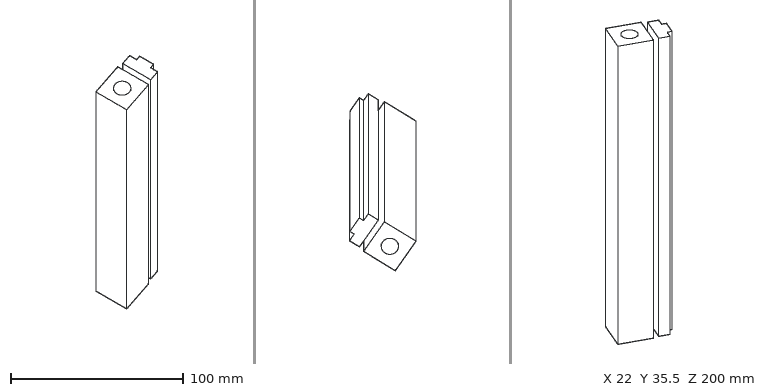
import cadquery as cq

length = 200.0

bar_width = 22.0
bore_diameter = 10.0

flange_width = 20.0
flange_depth = 7.0
stem_width = 10.0
stem_depth = 3.0

flange_offset = 18.0


def make_bar():
    """Square bar centred on the Z axis, bored right through."""
    return (
        cq.Workplane("XY")
        .rect(bar_width, bar_width)
        .circle(bore_diameter / 2)
        .extrude(length)
    )


def make_strip():
    """T-section strip, standing clear of the bar on its +Y side."""
    half_flange = flange_width / 2
    half_stem = stem_width / 2
    front_y = flange_offset - flange_depth / 2
    shoulder_y = front_y + flange_depth
    back_y = shoulder_y + stem_depth
    return (
        cq.Workplane("XY")
        .polyline([
            (-half_flange, front_y),
            (half_flange, front_y),
            (half_flange, shoulder_y),
            (half_stem, shoulder_y),
            (half_stem, back_y),
            (-half_stem, back_y),
            (-half_stem, shoulder_y),
            (-half_flange, shoulder_y),
        ])
        .close()
        .extrude(length)
    )


bar = make_bar()
strip = make_strip()

result = cq.Compound.makeCompound([bar.val(), strip.val()])